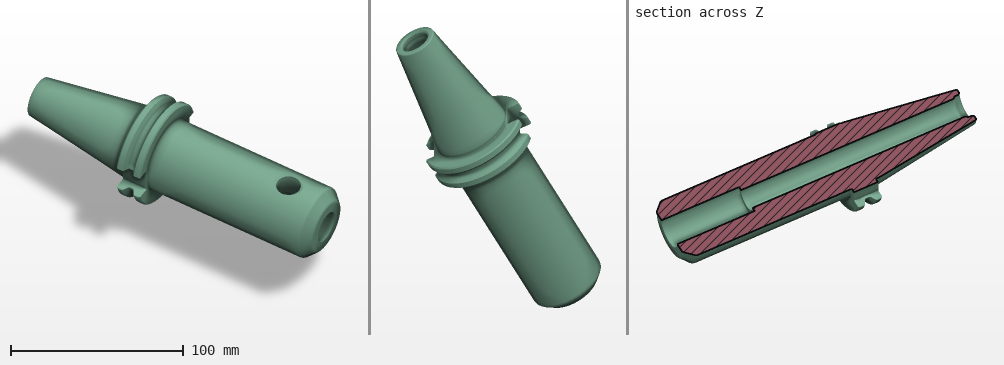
import cadquery as cq
import math

TAPER_START = -68.25
NOSE_END = 127.0
FLANGE_START = 3.175
FLANGE_END = 19.05
GROOVE_CENTER = 11.1

GAUGE_DIAMETER = 44.45
TAPER_RATIO = 7.0 / 24.0
COLLAR_DIAMETER = 44.8
TAPER_END_ROUND = 1.0

FLANGE_DIAMETER = 63.5
FLANGE_CHAMFER = 0.8
FLANGE_ROOT_ROUND = 0.5
GROOVE_ROOT_DIAMETER = 55.8
GROOVE_ROOT_WIDTH = 3.2
GROOVE_ROOT_ROUND = 1.0
GROOVE_HALF_ANGLE = 30.0

SLOT_WIDTH = 16.3
SLOT_FLOOR_FRONT = 22.8
SLOT_FLOOR_BACK = 25.0
SLOT_EDGE_CHAMFER = 0.4

BODY_DIAMETER = 44.45
NOSE_CHAMFER = 6.15
NOSE_ROUND = 2.5

THROUGH_DIAMETER = 14.0
TOOL_BORE_DIAMETER = 19.05
TOOL_BORE_DEPTH = 50.8
REAR_BORE_DIAMETER = 16.5
REAR_BORE_DEPTH = 4.0
REAR_BORE_CHAMFER = 1.0
REAR_SEAT_DIAMETER = 15.6
REAR_SEAT_HALF_ANGLE = 30.0

SCREW_X = 101.4
SCREW_DIAMETER = 14.35
SCREW_SINK_DIAMETER = 18.1
SCREW_SINK_ANGLE = 120.0


def revolve_profile(outline):
    """Turn an outline drawn in the XY plane around the X axis."""
    return outline.close().revolve(360, (0, 0, 0), (1, 0, 0))


def make_taper():
    gauge_radius = GAUGE_DIAMETER / 2
    collar_radius = COLLAR_DIAMETER / 2
    collar_start = (COLLAR_DIAMETER - GAUGE_DIAMETER) / TAPER_RATIO
    small_radius = gauge_radius + TAPER_START * TAPER_RATIO / 2
    taper = revolve_profile(
        cq.Workplane("XY")
        .moveTo(TAPER_START, 0)
        .lineTo(TAPER_START, small_radius)
        .lineTo(collar_start, collar_radius)
        .lineTo(FLANGE_END, collar_radius)
        .lineTo(FLANGE_END, 0)
    )
    return taper.faces("<X").edges().fillet(TAPER_END_ROUND)


def make_body():
    return (
        cq.Workplane("YZ", origin=(FLANGE_START, 0, 0))
        .circle(BODY_DIAMETER / 2)
        .extrude(NOSE_END - FLANGE_START)
        .faces(">X")
        .chamfer(NOSE_CHAMFER)
        .faces("%CONE")
        .edges("%CIRCLE")
        .fillet(NOSE_ROUND)
    )


def make_flange():
    outer = FLANGE_DIAMETER / 2
    root = GROOVE_ROOT_DIAMETER / 2
    root_half = GROOVE_ROOT_WIDTH / 2
    mouth_half = root_half + (outer - root) * math.tan(math.radians(GROOVE_HALF_ANGLE))
    flange = revolve_profile(
        cq.Workplane("XY")
        .moveTo(FLANGE_START, 0)
        .lineTo(FLANGE_START, outer - FLANGE_CHAMFER)
        .lineTo(FLANGE_START + FLANGE_CHAMFER, outer)
        .lineTo(GROOVE_CENTER - mouth_half, outer)
        .lineTo(GROOVE_CENTER - root_half, root)
        .lineTo(GROOVE_CENTER + root_half, root)
        .lineTo(GROOVE_CENTER + mouth_half, outer)
        .lineTo(FLANGE_END - FLANGE_CHAMFER, outer)
        .lineTo(FLANGE_END, outer - FLANGE_CHAMFER)
        .lineTo(FLANGE_END, 0)
    )
    root_edges = flange.edges(cq.selectors.RadiusNthSelector(0))
    return root_edges.fillet(GROOVE_ROOT_ROUND)


def make_root_fillet(shaft_radius, face, side):
    """Concave ring between a shaft and a flange face; side is the X direction away from the flange."""
    outer_radius = shaft_radius + FLANGE_ROOT_ROUND
    edge = face + side * FLANGE_ROOT_ROUND
    arc_offset = FLANGE_ROOT_ROUND * (1 - math.sqrt(0.5))
    return revolve_profile(
        cq.Workplane("XY")
        .moveTo(face, 0)
        .lineTo(face, outer_radius)
        .threePointArc((face + side * arc_offset, shaft_radius + arc_offset), (edge, shaft_radius))
        .lineTo(edge, 0)
    )


def make_slot(floor, side):
    """Drive slot along the whole flange width with broken outer edges; side is the sign of Y."""
    half_width = SLOT_WIDTH / 2
    chamfer_half_width = half_width + SLOT_EDGE_CHAMFER
    outer = FLANGE_DIAMETER / 2
    chamfer_outer = math.sqrt(outer**2 - chamfer_half_width**2)
    chamfer_inner = chamfer_outer - SLOT_EDGE_CHAMFER
    flared_half_width = half_width + outer - chamfer_inner
    half_outline = [(floor, half_width), (chamfer_inner, half_width), (outer, flared_half_width)]
    upper = [(side * y, z) for y, z in half_outline]
    lower = [(y, -z) for y, z in reversed(upper)]
    return (
        cq.Workplane("YZ", origin=(FLANGE_START, 0, 0))
        .polyline(upper + lower)
        .close()
        .extrude(FLANGE_END - FLANGE_START)
    )


def make_axial_bores():
    through = THROUGH_DIAMETER / 2
    rear = REAR_BORE_DIAMETER / 2
    seat = REAR_SEAT_DIAMETER / 2
    tool = TOOL_BORE_DIAMETER / 2
    rear_floor = TAPER_START + REAR_BORE_DEPTH
    seat_end = rear_floor + (seat - through) / math.tan(math.radians(REAR_SEAT_HALF_ANGLE))
    tool_floor = NOSE_END - TOOL_BORE_DEPTH
    return revolve_profile(
        cq.Workplane("XY")
        .moveTo(TAPER_START, 0)
        .lineTo(TAPER_START, rear + REAR_BORE_CHAMFER)
        .lineTo(TAPER_START + REAR_BORE_CHAMFER, rear)
        .lineTo(rear_floor, rear)
        .lineTo(rear_floor, seat)
        .lineTo(seat_end, through)
        .lineTo(tool_floor, through)
        .lineTo(tool_floor, tool)
        .lineTo(NOSE_END, tool)
        .lineTo(NOSE_END, 0)
    )


def make_screw_hole():
    """Countersunk radial hole from the top of the body down to the axis."""
    top = BODY_DIAMETER / 2
    sink = SCREW_SINK_DIAMETER / 2
    hole = SCREW_DIAMETER / 2
    sink_depth = (sink - hole) / math.tan(math.radians(SCREW_SINK_ANGLE / 2))
    return (
        cq.Workplane("XZ")
        .lineTo(hole, 0)
        .lineTo(hole, top - sink_depth)
        .lineTo(sink, top)
        .lineTo(0, top)
        .close()
        .revolve(360, (0, 0, 0), (0, 1, 0))
        .translate((SCREW_X, 0, 0))
    )


result = (
    make_flange()
    .cut(make_slot(SLOT_FLOOR_FRONT, -1))
    .cut(make_slot(SLOT_FLOOR_BACK, 1))
    .union(make_taper())
    .union(make_body())
    .union(make_root_fillet(COLLAR_DIAMETER / 2, FLANGE_START, -1))
    .union(make_root_fillet(BODY_DIAMETER / 2, FLANGE_END, 1))
    .cut(make_axial_bores())
    .cut(make_screw_hole())
)